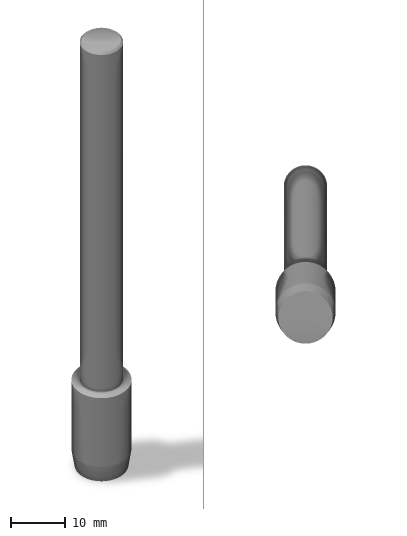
import cadquery as cq

total_length = 100.0

plug_diameter = 11.1
plug_length = 20.3
shoulder_rise = 0.3
seat_diameter = 8.7
nose_diameter = 10.0
nose_length = 3.8
nose_mid_diameter = 10.6

rod_diameter = 8.0
rod_chamfer = 0.4


def make_plug():
    """Revolved plug with a curved nose and a flat seat for the rod on top."""
    profile = (
        cq.Workplane("XZ")
        .lineTo(nose_diameter / 2, 0)
        .threePointArc(
            (nose_mid_diameter / 2, nose_length / 2),
            (plug_diameter / 2, nose_length),
        )
        .lineTo(plug_diameter / 2, plug_length - shoulder_rise)
        .lineTo(seat_diameter / 2, plug_length)
        .lineTo(0, plug_length)
        .close()
    )
    return profile.revolve(360, (0, 0), (0, 1))


def make_rod():
    """Round rod standing on the plug's seat, chamfered at its upper end."""
    rod = (
        cq.Workplane("XY", origin=(0, 0, plug_length))
        .circle(rod_diameter / 2)
        .extrude(total_length - plug_length)
    )
    return rod.faces(">Z").chamfer(rod_chamfer)


plug = make_plug()
rod = make_rod()

result = cq.Compound.makeCompound([plug.val(), rod.val()])